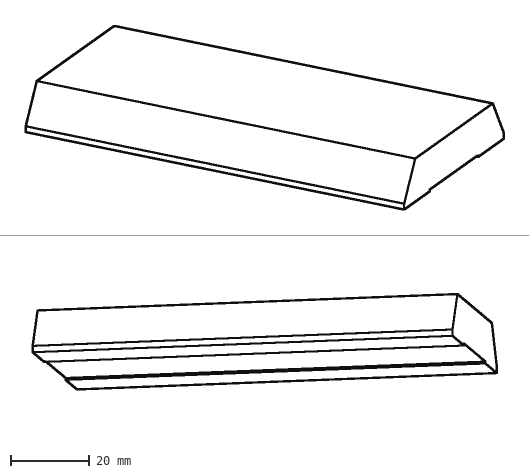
import cadquery as cq

length = 110.0
width = 54.0
height = 12.0

top_width = 42.0
edge_height = 1.6

channel_width = 26.0
channel_depth = 0.5

body = (
    cq.Workplane("YZ")
    .polyline([
        (-width / 2, 0),
        (width / 2, 0),
        (width / 2, edge_height),
        (top_width / 2, height),
        (-top_width / 2, height),
        (-width / 2, edge_height),
    ])
    .close()
    .extrude(length / 2, both=True)
)

channel = cq.Workplane("XY").box(
    length, channel_width, channel_depth, centered=(True, True, False)
)

result = body.cut(channel)